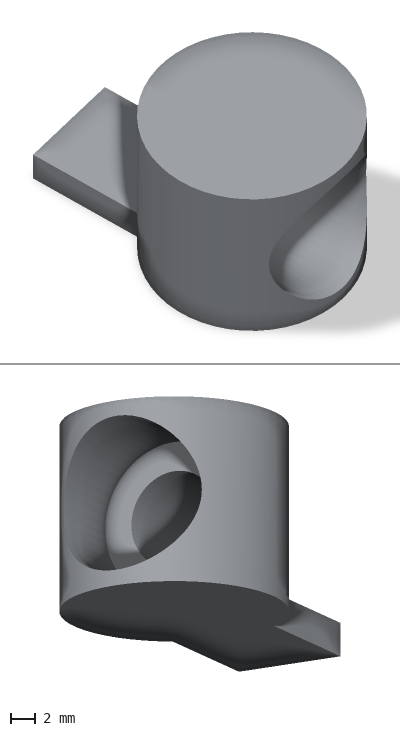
import cadquery as cq

body_diameter = 18.6
body_height = 15.5

overall_length = 28.0
tab_width = 9.5
tab_thickness = 2.8

hole_diameter = 8.0
counterbore_diameter = 12.9

body_radius = body_diameter / 2
tab_reach = overall_length - body_radius
hole_height = body_height / 2
counterbore_depth = body_radius


def make_body():
    return cq.Workplane("XY").circle(body_radius).extrude(body_height)


def make_tab():
    """Bar from the body axis out to the free end, flush with the base."""
    return cq.Workplane("XY").box(
        tab_reach, tab_width, tab_thickness, centered=(False, True, False)
    ).translate((-tab_reach, 0, 0))


def make_bore(diameter, start_x, end_x):
    """Cylinder along X at the hole height."""
    return (
        cq.Workplane("YZ", origin=(start_x, 0, hole_height))
        .circle(diameter / 2)
        .extrude(end_x - start_x)
    )


through_hole = make_bore(hole_diameter, -body_radius, body_radius)
counterbore = make_bore(counterbore_diameter, body_radius - counterbore_depth, body_radius)

result = make_body().union(make_tab()).cut(through_hole).cut(counterbore)